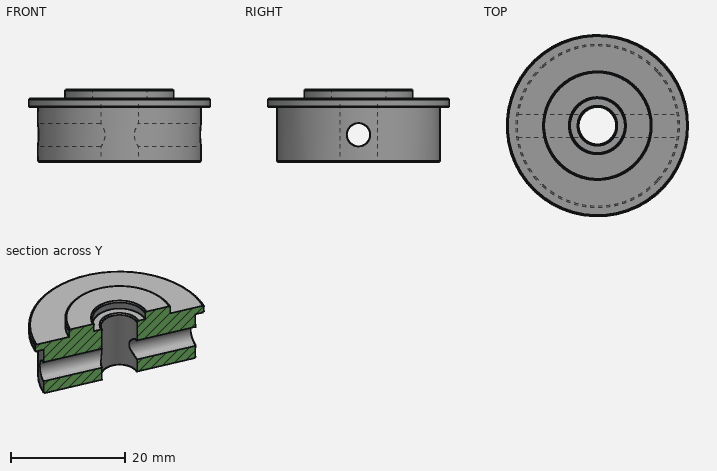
import cadquery as cq

flange_diameter = 31.75
body_diameter = 28.58
boss_diameter = 19.05
body_height = 9.52
flange_height = 1.6
boss_height = 1.6
counterbore_diameter = 9.52
counterbore_depth = 1.6
bore_diameter = 6.5
cross_hole_diameter = 4.03
edge_chamfer = 0.25

total_height = body_height + flange_height + boss_height
counterbore_floor = total_height - counterbore_depth
cross_hole_height = body_height / 2


def disc(diameter, bottom, height):
    """Plain cylinder standing on the given height along the Z axis."""
    return cq.Workplane("XY").workplane(offset=bottom).circle(diameter / 2).extrude(height)


def hole_rim(diameter, height):
    """Selector for the circular rim of an upward-opening hole."""
    half = diameter / 2 + edge_chamfer / 2
    return cq.selectors.BoxSelector(
        (-half, -half, height - edge_chamfer / 2), (half, half, height + edge_chamfer / 2), boundingbox=True
    )


body = disc(body_diameter, 0, body_height).faces("<Z").chamfer(edge_chamfer)
flange = disc(flange_diameter, body_height, flange_height).edges().chamfer(edge_chamfer)
boss = disc(boss_diameter, body_height + flange_height, boss_height).faces(">Z").chamfer(edge_chamfer)
result = body.union(flange).union(boss)

result = result.cut(disc(bore_diameter, 0, total_height))
result = result.cut(disc(counterbore_diameter, counterbore_floor, counterbore_depth))
result = result.edges(hole_rim(counterbore_diameter, total_height)).chamfer(edge_chamfer)
result = result.edges(hole_rim(bore_diameter, counterbore_floor)).chamfer(edge_chamfer)

cross_hole = (
    cq.Workplane("YZ")
    .center(0, cross_hole_height)
    .circle(cross_hole_diameter / 2)
    .extrude(flange_diameter / 2, both=True)
)
result = result.cut(cross_hole)